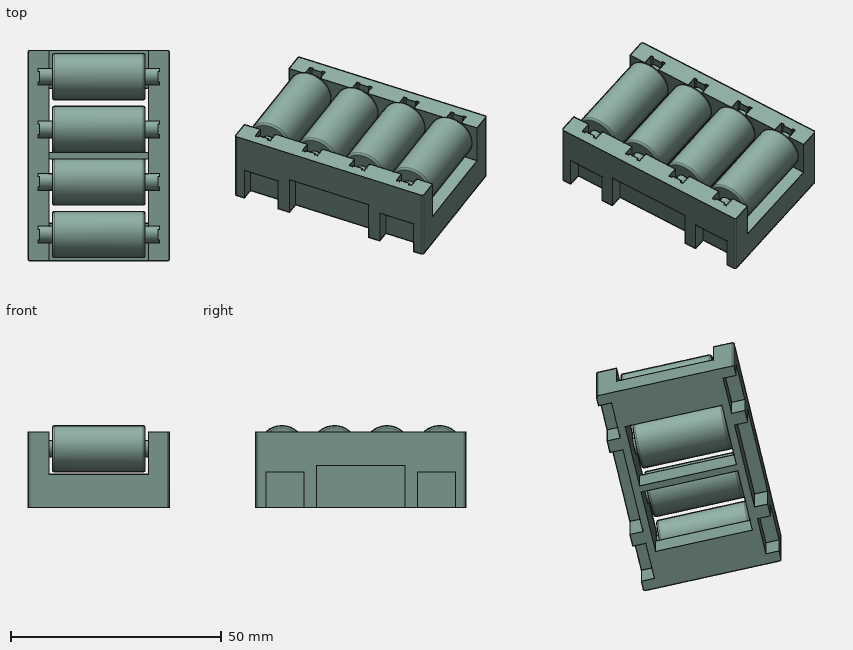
import cadquery as cq

FRAME_WIDTH = 33.6
FRAME_LENGTH = 50.0
FRAME_HEIGHT = 18.0
WALL = 5.0
FLOOR = 8.0
CORNER_RADIUS = 0.5
CHANNEL_WIDTH = FRAME_WIDTH - 2 * WALL

END_FLOOR_LENGTH = 9.0
RIB_WIDTH = 1.6
WINDOW_LENGTH = FRAME_LENGTH / 2 - END_FLOOR_LENGTH - RIB_WIDTH / 2

RECESS_DEPTH = 3.2
MIDDLE_RECESS_LENGTH = 21.0
MIDDLE_RECESS_HEIGHT = 10.0
END_RECESS_LENGTH = 9.0
END_RECESS_HEIGHT = 8.5
END_RECESS_MARGIN = 2.5

ROLLER_COUNT = 4
ROLLER_PITCH = 12.5
ROLLER_DIAMETER = 11.0
ROLLER_LENGTH = 22.0
ROLLER_EDGE_RADIUS = 0.5
OVERALL_HEIGHT = 19.5
AXIS_HEIGHT = OVERALL_HEIGHT - ROLLER_DIAMETER / 2

AXLE_DIAMETER = 4.0
SLOT_END_WALL = 2.35
AXLE_LENGTH = FRAME_WIDTH - 2 * SLOT_END_WALL
TOOTH_WIDTH = 2.5
TOOTH_DEPTH = 0.4

ROLLER_POSITIONS = [
    (index - (ROLLER_COUNT - 1) / 2) * ROLLER_PITCH for index in range(ROLLER_COUNT)
]


def box_on(base_z, size_x, size_y, size_z, x=0.0, y=0.0):
    """Box centred on (x, y) whose bottom is at base_z."""
    return (
        cq.Workplane("XY", origin=(x, y, base_z))
        .box(size_x, size_y, size_z, centered=(True, True, False))
    )


def cylinder_along_x(diameter, length, y):
    """Cylinder at roller axis height, centred on X = 0."""
    return (
        cq.Workplane("YZ", origin=(-length / 2, y, AXIS_HEIGHT))
        .circle(diameter / 2)
        .extrude(length)
    )


def make_channel():
    block = box_on(0, FRAME_WIDTH, FRAME_LENGTH, FRAME_HEIGHT).edges("|Z").fillet(CORNER_RADIUS)
    return block.cut(box_on(FLOOR, CHANNEL_WIDTH, FRAME_LENGTH, FRAME_HEIGHT - FLOOR))


def cut_floor_windows(frame):
    offset = (RIB_WIDTH + WINDOW_LENGTH) / 2
    for y in (-offset, offset):
        frame = frame.cut(box_on(0, CHANNEL_WIDTH, WINDOW_LENGTH, FLOOR, y=y))
    return frame


def cut_side_recesses(frame):
    end_offset = (FRAME_LENGTH - END_RECESS_LENGTH) / 2 - END_RECESS_MARGIN
    recesses = [
        (-end_offset, END_RECESS_LENGTH, END_RECESS_HEIGHT),
        (0, MIDDLE_RECESS_LENGTH, MIDDLE_RECESS_HEIGHT),
        (end_offset, END_RECESS_LENGTH, END_RECESS_HEIGHT),
    ]
    side_x = (FRAME_WIDTH - RECESS_DEPTH) / 2
    for x in (-side_x, side_x):
        for y, length, height in recesses:
            frame = frame.cut(box_on(0, RECESS_DEPTH, length, height, x, y))
    return frame


def make_axle_slots(y):
    """Round-bottomed slot across both walls, with a tooth standing in from each closed end."""
    slot = box_on(AXIS_HEIGHT, AXLE_LENGTH, AXLE_DIAMETER, FRAME_HEIGHT - AXIS_HEIGHT, y=y)
    slot = slot.union(cylinder_along_x(AXLE_DIAMETER, AXLE_LENGTH, y))
    tooth_base = AXIS_HEIGHT - AXLE_DIAMETER / 2
    tooth_x = (AXLE_LENGTH - TOOTH_DEPTH) / 2
    for x in (-tooth_x, tooth_x):
        slot = slot.cut(box_on(tooth_base, TOOTH_DEPTH, TOOTH_WIDTH, FRAME_HEIGHT - tooth_base, x, y))
    return slot


def make_roller(y):
    """Roller with rounded rims on its axle."""
    roller = cylinder_along_x(ROLLER_DIAMETER, ROLLER_LENGTH, y).edges().fillet(ROLLER_EDGE_RADIUS)
    return roller.union(cylinder_along_x(AXLE_DIAMETER, AXLE_LENGTH, y))


result = cut_side_recesses(cut_floor_windows(make_channel()))
for position in ROLLER_POSITIONS:
    result = result.cut(make_axle_slots(position))
for position in ROLLER_POSITIONS:
    result = result.union(make_roller(position))